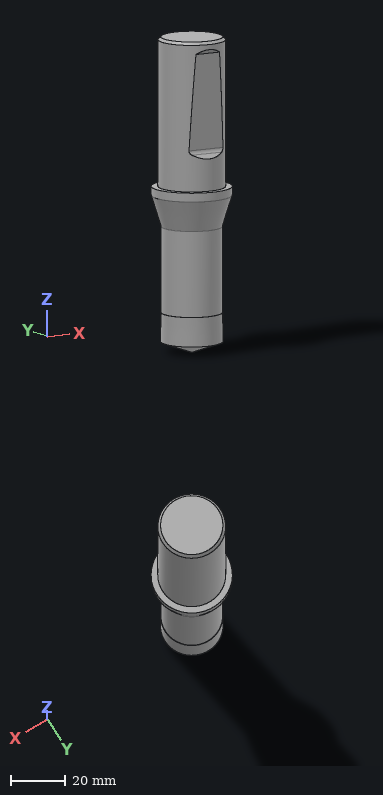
import cadquery as cq

overall_length = 118.0
collar_top = 62.2
collar_bottom = 58.9
flare_bottom = 47.2
tip_top = 15.1
point_height = 4.1

shank_diameter = 25.0
collar_diameter = 30.0
neck_diameter = 22.7
tip_top_diameter = 22.9
tip_bottom_diameter = 23.1
shank_chamfer = 1.1

flat_upper_depth = 1.1
flat_lower_depth = 2.4
flat_upper_end = 113.5
flat_lower_end = 76.6
flat_upper_ramp = 1.5
flat_lower_ramp = flat_lower_depth
flat_fillet_radius = 2.1

shank_radius = shank_diameter / 2
collar_radius = collar_diameter / 2
neck_radius = neck_diameter / 2


def revolve_about_z(profile):
    """Revolve a closed (radius, height) outline about the Z axis."""
    return cq.Workplane("XZ").polyline(profile).close().revolve(360, (0, 0, 0), (0, 1, 0))


def make_flat_cutter():
    """Wedge with an inclined floor and a ramp at each end, the lower one blended in; outline in (y, z)."""
    surface = -shank_radius
    outside = -collar_radius
    upper_run_out = flat_upper_end + flat_upper_ramp
    lower_run_out = flat_lower_end - flat_lower_ramp
    profile = [
        (outside, upper_run_out),
        (surface, upper_run_out),
        (surface + flat_upper_depth, flat_upper_end),
        (surface + flat_lower_depth, flat_lower_end),
        (surface, lower_run_out),
        (outside, lower_run_out),
    ]
    wedge = cq.Workplane("YZ").polyline(profile).close().extrude(shank_radius, both=True)
    deepest_corner = cq.selectors.NearestToPointSelector((0, surface + flat_lower_depth, flat_lower_end))
    return wedge.edges("|X").edges(deepest_corner).fillet(flat_fillet_radius)


def make_holder():
    """Chamfered shank, collar, conical flare and neck, with the clamping flat cut in."""
    profile = [
        (0, tip_top),
        (neck_radius, tip_top),
        (neck_radius, flare_bottom),
        (collar_radius, collar_bottom),
        (collar_radius, collar_top),
        (shank_radius, collar_top),
        (shank_radius, overall_length - shank_chamfer),
        (shank_radius - shank_chamfer, overall_length),
        (0, overall_length),
    ]
    return revolve_about_z(profile).cut(make_flat_cutter())


def make_tip():
    """Pointed tip with a slightly tapered side, butted against the neck."""
    profile = [
        (0, 0),
        (tip_bottom_diameter / 2, point_height),
        (tip_top_diameter / 2, tip_top),
        (0, tip_top),
    ]
    return revolve_about_z(profile)


holder = make_holder()
tip = make_tip()
result = cq.Compound.makeCompound([holder.val(), tip.val()])